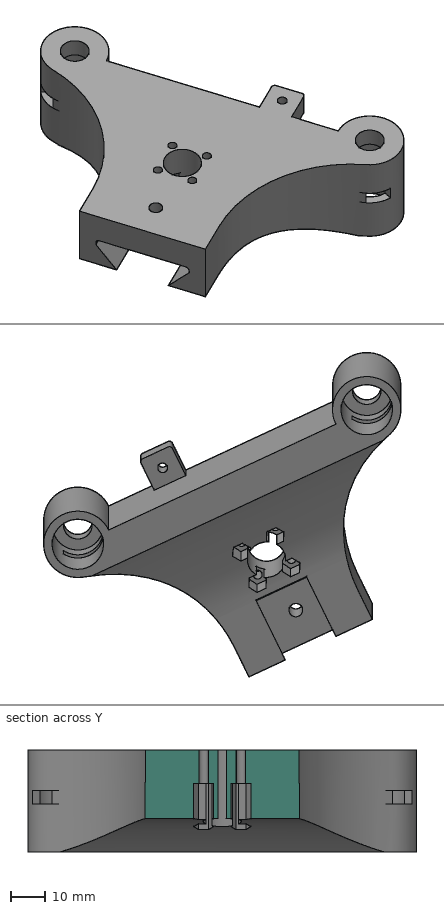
import cadquery as cq
import math

length = 113.9
depth = 70.0
height = 30.0

ear_radius = 10.0
ear_bore = 8.4
ear_x = length / 2 - ear_radius
ear_points = [(-ear_x, 0), (ear_x, 0)]

bearing_seat_diameter = 15.0
bearing_seat_depth = 24.0
ear_window_height = 4.0
ear_window_bottom = 14.0
ear_window_start = 210.0
ear_window_end = 330.0

neck_half_width = 20.0
front_y = ear_radius - depth
front_straight = 10.0
side_arc_start_y = front_y + front_straight
rear_y = 0.0

relief_height = 10.0
relief_arc_start_y = -40.1
relief_arc_end_y = -10.4

dovetail_top_half_width = 14.8
dovetail_bottom_half_width = 8.2
dovetail_height = 10.0
dovetail_side_height = 2.0
dovetail_corner_radius = 1.1
dovetail_length = 20.0

centre_hole = 11.2
centre_y = -30.0
locking_hole = 4.0
locking_hole_y = side_arc_start_y

screw_hole = 2.6
screw_offset = 5.5
screw_points = [
    (side_x * screw_offset, centre_y + side_y * screw_offset) for side_x in (-1, 1) for side_y in (-1, 1)
]
nut_across_flats = 5.0
nut_across_corners = nut_across_flats / math.cos(math.pi / 6)
nut_pocket_top = relief_height + dovetail_height

lug_x = 17.0
lug_width = 10.3
lug_length = 10.0
lug_height = 7.0
lug_corner_radius = 1.0
lug_hole = 2.8
lug_hole_y = rear_y + lug_length / 2


def polar(radius, degrees):
    angle = math.radians(degrees)
    return radius * math.cos(angle), radius * math.sin(angle)


def upright_cylinders(diameter, points, top=height):
    return cq.Workplane("XY").pushPoints(points).circle(diameter / 2).extrude(top)


def make_body():
    """Plan outline: two concave side arcs tangent to the neck and to the ears."""
    dx = ear_x - neck_half_width
    dy = -side_arc_start_y
    arc_radius = (dx**2 + dy**2 - ear_radius**2) / (2 * (dx + ear_radius))
    arc_x = neck_half_width + arc_radius
    share = ear_radius / (ear_radius + arc_radius)
    tangent_x = ear_x + (arc_x - ear_x) * share
    tangent_y = side_arc_start_y * share
    half_angle = math.atan2(tangent_y - side_arc_start_y, arc_x - tangent_x) / 2
    mid_x = arc_x - arc_radius * math.cos(half_angle)
    mid_y = side_arc_start_y + arc_radius * math.sin(half_angle)

    body = (
        cq.Workplane("XY")
        .moveTo(-neck_half_width, front_y)
        .lineTo(neck_half_width, front_y)
        .lineTo(neck_half_width, side_arc_start_y)
        .threePointArc((mid_x, mid_y), (tangent_x, tangent_y))
        .lineTo(ear_x, rear_y)
        .lineTo(-ear_x, rear_y)
        .lineTo(-tangent_x, tangent_y)
        .threePointArc((-mid_x, mid_y), (-neck_half_width, side_arc_start_y))
        .close()
        .extrude(height)
    )
    ears = upright_cylinders(2 * ear_radius, ear_points)
    return body.union(ears)


def make_underside_relief():
    """Cutter for the space below the flat and below the arc tangent to it."""
    run = relief_arc_end_y - relief_arc_start_y
    arc_radius = (run**2 + relief_height**2) / (2 * relief_height)
    half_angle = math.asin(run / arc_radius) / 2
    mid_y = relief_arc_start_y + arc_radius * math.sin(half_angle)
    mid_z = relief_height - arc_radius * (1 - math.cos(half_angle))
    return (
        cq.Workplane("YZ")
        .moveTo(front_y, 0)
        .lineTo(front_y, relief_height)
        .lineTo(relief_arc_start_y, relief_height)
        .threePointArc((mid_y, mid_z), (relief_arc_end_y, 0))
        .close()
        .extrude(length / 2, both=True)
    )


def make_dovetail():
    top_z = relief_height + dovetail_height
    edge_z = top_z - dovetail_side_height
    return (
        cq.Workplane("XZ", origin=(0, front_y, 0))
        .polyline(
            [
                (-dovetail_bottom_half_width, relief_height),
                (-dovetail_top_half_width, edge_z),
                (-dovetail_top_half_width, top_z),
                (dovetail_top_half_width, top_z),
                (dovetail_top_half_width, edge_z),
                (dovetail_bottom_half_width, relief_height),
            ]
        )
        .close()
        .extrude(-dovetail_length)
        .edges("|Y and >Z")
        .fillet(dovetail_corner_radius)
    )


def make_lug():
    """Block flush with the top face; its hidden half reaches into the body."""
    return (
        cq.Workplane("XY", origin=(lug_x, rear_y, height - lug_height))
        .rect(lug_width, 2 * lug_length)
        .extrude(lug_height)
        .edges("|Z and >Y")
        .fillet(lug_corner_radius)
    )


def make_ear_window():
    """Sector-shaped slot around the left ear axis that opens the bearing seat to the outside."""
    middle = (ear_window_start + ear_window_end) / 2
    return (
        cq.Workplane("XY", origin=(-ear_x, 0, ear_window_bottom))
        .lineTo(*polar(ear_radius, ear_window_start))
        .threePointArc(polar(ear_radius, middle), polar(ear_radius, ear_window_end))
        .close()
        .extrude(ear_window_height)
    )


nut_pockets = (
    cq.Workplane("XY")
    .pushPoints(screw_points)
    .polygon(6, nut_across_corners)
    .extrude(nut_pocket_top)
)

ear_window = make_ear_window()

result = (
    make_body()
    .cut(make_underside_relief())
    .union(make_lug())
    .cut(upright_cylinders(lug_hole, [(lug_x, lug_hole_y)]))
    .cut(make_dovetail())
    .cut(upright_cylinders(ear_bore, ear_points))
    .cut(upright_cylinders(bearing_seat_diameter, ear_points, bearing_seat_depth))
    .cut(upright_cylinders(centre_hole, [(0, centre_y)]))
    .cut(upright_cylinders(locking_hole, [(0, locking_hole_y)]))
    .cut(upright_cylinders(screw_hole, screw_points))
    .cut(nut_pockets)
    .cut(ear_window)
    .cut(ear_window.mirror("YZ"))
)